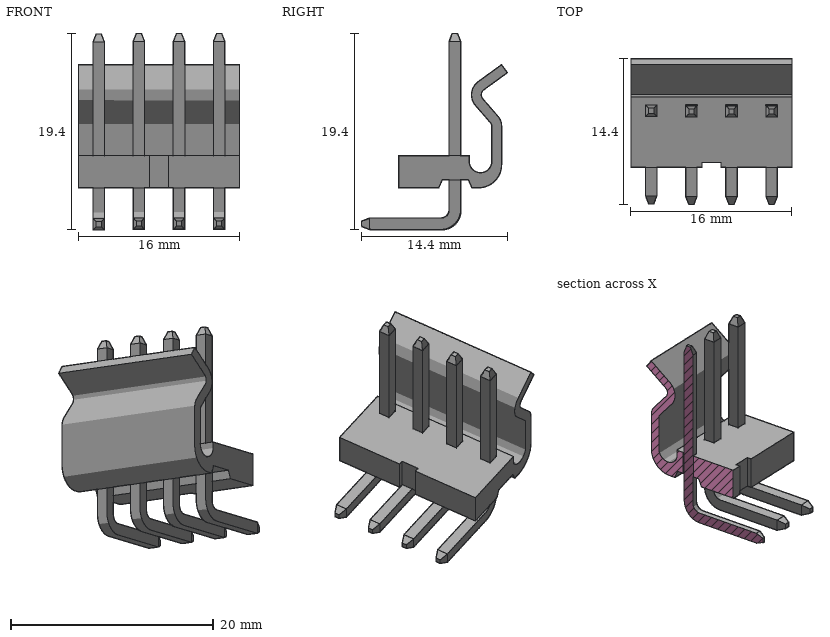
import cadquery as cq
import math


housing_width = 15.95
base_depth = 6.98
base_height = 3.19

groove_height = 0.8
groove_top_front = 4.32
groove_top_back = 6.89
groove_flare = 0.35

key_width = 1.85
key_depth = 0.47

latch_thickness = 1.0
root_inner_radius = 1.1
root_outer_radius = 2.31
root_centre_height = 2.63
latch_front = base_depth + 2 * root_inner_radius
latch_back = latch_front + latch_thickness
latch_wall_top = 6.1
lean_angle = 41.0
lean_inner_radius = 0.49
lean_length = 2.28
crest_angle = 95.0
crest_inner_radius = 0.62
lever_length = 2.85

pin_count = 4
pin_pitch = 3.97
pin_size = 1.15
pin_top = 15.29
pin_bottom = -4.1
pin_front = -3.68
pin_centre = 5.55
pin_bend_inner_radius = 0.8
tip_length = 0.82
tip_end_size = 0.5
first_pin_offset = 0.05


def strip_path(start, heading, steps):
    """Wire in the YZ plane made of tangent lines and arcs.

    Each step is (length, turn, radius): a straight run, then a bend by the
    turn angle in degrees, anticlockwise positive. A zero turn adds no bend.
    """
    y, z = start
    path = cq.Workplane("YZ").moveTo(y, z)
    for length, turn, radius in steps:
        y += length * math.cos(math.radians(heading))
        z += length * math.sin(math.radians(heading))
        path = path.lineTo(y, z)
        if turn == 0:
            continue
        side = math.copysign(90, turn)
        to_centre = math.radians(heading + side)
        centre_y = y + radius * math.cos(to_centre)
        centre_z = z + radius * math.sin(to_centre)
        halfway = math.radians(heading - side + turn / 2)
        bend_end = math.radians(heading - side + turn)
        middle = (centre_y + radius * math.cos(halfway), centre_z + radius * math.sin(halfway))
        y = centre_y + radius * math.cos(bend_end)
        z = centre_z + radius * math.sin(bend_end)
        path = path.threePointArc(middle, (y, z))
        heading += turn
    return path


def make_base():
    """Base block with the U-shaped root of the latch and the relief groove."""
    root_centre = base_depth + root_inner_radius
    diagonal = root_outer_radius * (1 - math.sqrt(0.5))
    outline = (
        cq.Workplane("YZ")
        .moveTo(0, 0)
        .lineTo(0, base_height)
        .lineTo(base_depth, base_height)
        .lineTo(base_depth, root_centre_height)
        .threePointArc(
            (root_centre, root_centre_height - root_inner_radius),
            (latch_front, root_centre_height),
        )
        .lineTo(latch_back, root_centre_height)
        .lineTo(latch_back, root_outer_radius)
        .threePointArc((latch_back - diagonal, diagonal), (latch_back - root_outer_radius, 0))
        .lineTo(groove_top_back + groove_flare, 0)
        .lineTo(groove_top_back, groove_height)
        .lineTo(groove_top_front, groove_height)
        .lineTo(groove_top_front - groove_flare, 0)
        .close()
    )
    return outline.extrude(housing_width / 2, both=True)


def make_latch():
    """Bent strip that rises from the root, leans over the base and flares back as a lever."""
    half_thickness = latch_thickness / 2
    start = (latch_front + half_thickness, root_centre_height)
    path = strip_path(
        start,
        90,
        [
            (latch_wall_top - root_centre_height, lean_angle, lean_inner_radius + half_thickness),
            (lean_length, -crest_angle, crest_inner_radius + half_thickness),
            (lever_length, 0, 0),
        ],
    )
    section = cq.Workplane("XY", origin=(0, *start)).rect(housing_width, latch_thickness)
    return section.sweep(path)


def make_key_slot():
    """Cutter for the full-height key slot."""
    return cq.Workplane("XY").rect(key_width, 2 * key_depth).extrude(base_height)


def make_pin_hole(x, offset):
    """Cutter for the hole of one pin: it fits the pin in front and on both sides.

    All the holes reach back to the rear face of the first pin, so the other
    pins have a narrow gap behind them.
    """
    front = pin_centre + offset - pin_size / 2
    back = pin_centre + first_pin_offset + pin_size / 2
    hole = cq.Workplane("XY").center(x, (front + back) / 2)
    return hole.rect(pin_size, back - front).extrude(base_height)


def make_tip(base_plane):
    """Tapered end of a pin, pointing away from the given plane."""
    root = cq.Workplane(base_plane).rect(pin_size, pin_size)
    return root.workplane(offset=tip_length).rect(tip_end_size, tip_end_size).loft(ruled=True)


def make_pin(x, offset):
    """Right-angle square pin with two tapered tips, moved back and down by the offset."""
    bend_radius = pin_bend_inner_radius + pin_size / 2
    shank_top = pin_top - tip_length
    tail_front = pin_front + tip_length
    tail_height = pin_bottom + pin_size / 2
    path = strip_path(
        (tail_front, tail_height),
        0,
        [
            (pin_centre - bend_radius - tail_front, 90, bend_radius),
            (shank_top - tail_height - bend_radius, 0, 0),
        ],
    )
    tail_plane = cq.Plane(origin=(0, tail_front, tail_height), xDir=(1, 0, 0), normal=(0, -1, 0))
    shank = cq.Workplane(tail_plane).rect(pin_size, pin_size).sweep(path)
    upper_tip = make_tip(cq.Plane(origin=(0, pin_centre, shank_top)))
    tail_tip = make_tip(tail_plane)
    pin = shank.union(upper_tip).union(tail_tip)
    return pin.translate((x, offset, -offset))


housing = make_base().union(make_latch()).cut(make_key_slot())
pins = []
for index in range(pin_count):
    pin_x = (index - (pin_count - 1) / 2) * pin_pitch
    pin_offset = first_pin_offset if index == 0 else 0
    housing = housing.cut(make_pin_hole(pin_x, pin_offset))
    pins.append(make_pin(pin_x, pin_offset))

result = cq.Compound.makeCompound([housing.solids().val(), *[pin.solids().val() for pin in pins]])